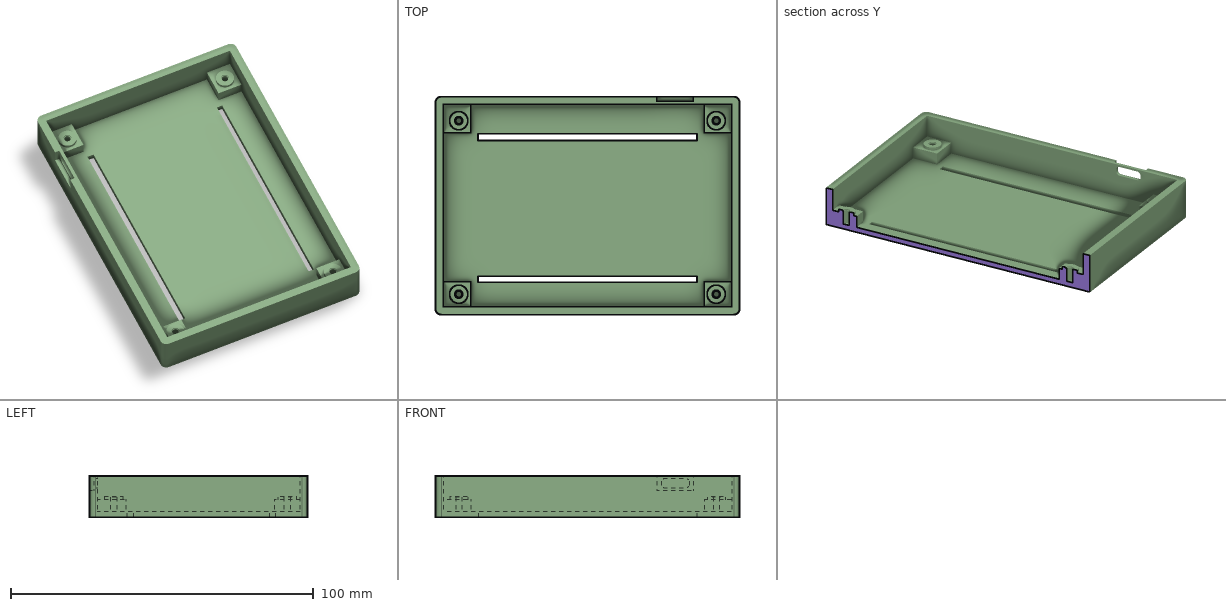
import cadquery as cq

length = 100.6
width = 72.1
height = 13.7
corner_radius = 2.0
wall = 2.6
floor = 2.0

screw_x = 42.6
rear_screw_y = 28.1
front_screw_y = -29.3
block_length = 9.2
rear_block_width = 9.4
front_block_width = 8.3
block_height = 4.0
boss_diameter = 6.0
boss_height = 1.0
entry_diameter = 2.6
entry_depth = 0.3
screw_diameter = 2.1
screw_depth = 5.0

floor_slot_length = 72.2
rear_slot_y = 22.6
rear_slot_width = 2.2
front_slot_y = -24.3
front_slot_width = 1.9

port_x = 29.0
port_drop = 2.3
port_z = height - port_drop
port_length = 9.3
port_height = 3.2
port_corner_radius = 1.3
recess_length = 12.1
recess_depth = 1.5
recess_margin = 0.8
recess_bottom = port_z - port_height / 2 - recess_margin

inner_x = length / 2 - wall
inner_y = width / 2 - wall
block_top = floor + block_height
boss_top = block_top + boss_height


def box(size_x, size_y, size_z, x, y, z):
    """Box centred on (x, y) with its underside at z."""
    return cq.Workplane("XY").box(size_x, size_y, size_z, centered=(True, True, False)).translate((x, y, z))


def cylinder(diameter, bottom, top, x, y):
    """Upright cylinder between two heights."""
    return cq.Workplane("XY", origin=(x, y, bottom)).circle(diameter / 2).extrude(top - bottom)


def tray():
    """Open box with rounded outer corners and a square-cornered cavity."""
    body = box(length, width, height, 0, 0, 0).edges("|Z").fillet(corner_radius)
    return body.cut(box(2 * inner_x, 2 * inner_y, height, 0, 0, floor))


def screw_post(side_x, side_y, screw_y, block_width):
    """Corner block and raised boss; the sides are +1 or -1."""
    block_x = side_x * (inner_x - block_length / 2)
    block_y = side_y * (inner_y - block_width / 2)
    block = box(block_length, block_width, block_height, block_x, block_y, floor)
    return block.union(cylinder(boss_diameter, block_top, boss_top, side_x * screw_x, screw_y))


def screw_hole(x, y):
    """Blind screw hole with a slightly wider entry."""
    pilot = cylinder(screw_diameter, boss_top - screw_depth, boss_top, x, y)
    return pilot.union(cylinder(entry_diameter, boss_top - entry_depth, boss_top, x, y))


def port():
    """Round-cornered opening through the rear wall and the recess open to the rim."""
    opening = (
        cq.Workplane("XZ", origin=(port_x, width / 2, port_z))
        .sketch()
        .rect(port_length, port_height)
        .vertices()
        .fillet(port_corner_radius)
        .finalize()
        .extrude(2 * wall, both=True)
    )
    recess = box(
        recess_length,
        2 * recess_depth,
        height - recess_bottom,
        port_x,
        width / 2,
        recess_bottom,
    )
    return opening.union(recess)


result = tray()

for side_x in (-1, 1):
    for side_y, screw_y, block_width in (
        (1, rear_screw_y, rear_block_width),
        (-1, front_screw_y, front_block_width),
    ):
        result = result.union(screw_post(side_x, side_y, screw_y, block_width))
        result = result.cut(screw_hole(side_x * screw_x, screw_y))

for slot_y, slot_width in ((rear_slot_y, rear_slot_width), (front_slot_y, front_slot_width)):
    result = result.cut(box(floor_slot_length, slot_width, floor, 0, slot_y, 0))

result = result.cut(port())